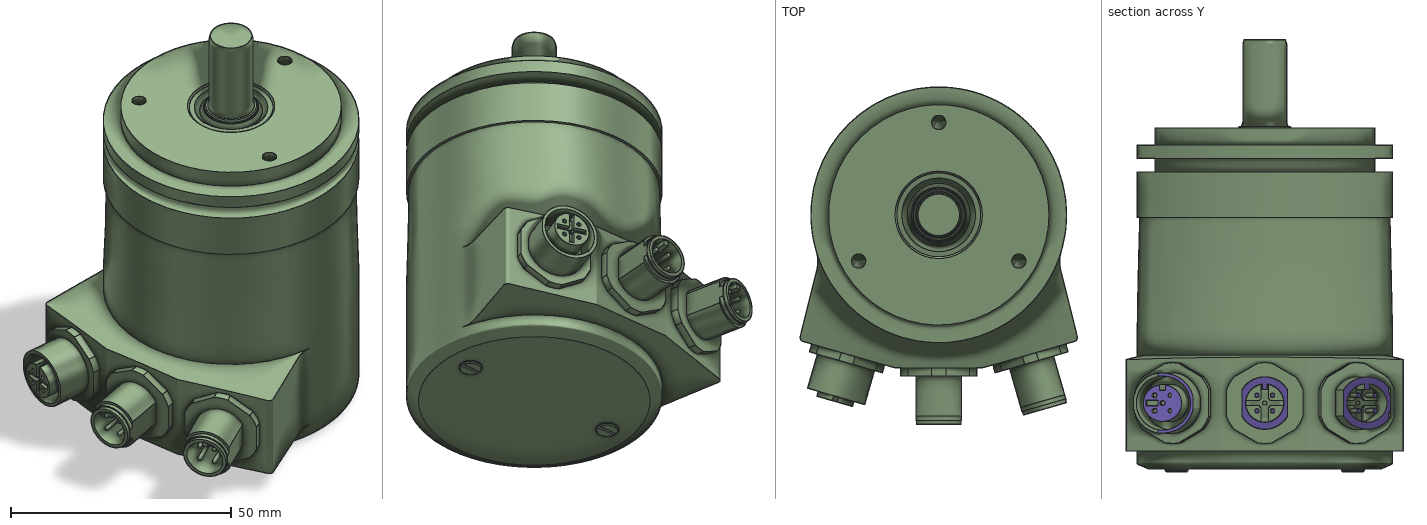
import cadquery as cq
import math

body_radius = 29.0
pilot_radius = 25.0
total_height = 98.0

screw_head_height = 0.6
hood_wall_bottom = 1.8
block_bottom = 4.7
block_top_at_wall = 26.5
hood_taper_start = 31.6
hood_top = 57.7
shoulder_top = 68.0
rim_bottom = 71.05
rim_top = 74.1
flange_top = 78.0

hood_top_radius = 28.4
hood_floor_radius = 26.3
hood_bottom_fillet = 0.6
block_top_slope = 4.5

block_front = 34.7
front_half_width = 10.0
side_face_angle = 16.0
side_face_length = 22.5
side_wall_angle = 14.0
block_corner_radius = 1.0
block_blend_radius = 7.8

screw_offset_x = 20.0
screw_offset_y = -1.7
screw_head_radius = 2.6
screw_head_chamfer = 0.3
screw_slot_width = 0.6

mounting_circle_radius = 21.0
mounting_hole_diameter = 3.2
mounting_hole_depth = 9.8
drill_point_angle = 118.0
mounting_hole_angles = (90, 210, 330)
seal_radius = 9.5
seal_height = 5.9
bore_chamfer = 0.4

groove_outer_radius = 8.3
groove_bottom_radius = 7.2
groove_inner_radius = 6.3
groove_depth = 0.9
groove_arc_radius = 1.1

shaft_radius = 5.0
collar_radius = 6.1
collar_above_flange = 0.3
collar_chamfer = 0.3
root_radius = 5.3
shaft_tip_radius = 4.7
shaft_cone_height = 1.0

connector_height = 15.6
side_seat_distance = 11.0
nut_across_flats = 17.2
nut_turned_diameter = 18.3
nut_thickness = 1.9

plug_length = 12.8
plug_barrel_radius = 6.0
plug_flat_offset = 5.2
plug_barrel_end = 11.0
plug_neck_radius = 5.4
plug_neck_end = 12.0
plug_tip_radius = 5.1
plug_bore_radius = 4.3
plug_bore_depth = 9.5
plug_pin_recess = 1.2
plug_pin_fillet = 0.4
plug_upright_slot_width = 1.7
plug_centre_radius = 1.4
plug_dimple_depth = 0.2
plug_key_recess = 0.3

socket_barrel_radius = 6.9
socket_barrel_end = 9.9
socket_flat_offset = 6.8
socket_bore_radius = 6.1
socket_bore_depth = 7.35
insert_radius = 4.2
insert_projection = 1.2
contact_hole_depth = 2.0
insert_slot_reach = 3.5

slot_width = 1.2
slot_depth = 1.2
key_width = 1.2
key_height = 1.3
contact_spacing = 3.5
contact_diameter = 1.0


def turned_solid(points):
    """Solid of revolution about Z from (radius, z) points."""
    return cq.Workplane("XZ").polyline(points).close().revolve(360, (0, 0, 0), (0, 1, 0))


def direction(degrees):
    """Unit vector in the XY plane, turned from +X."""
    return cq.Vector(math.cos(math.radians(degrees)), math.sin(math.radians(degrees)), 0)


face_direction = direction(side_face_angle)
wall_normal = direction(side_wall_angle)
wall_direction = direction(side_wall_angle + 90)
front_corner = cq.Vector(front_half_width, -block_front, 0)
outer_corner = front_corner + face_direction * side_face_length


def xy(vector, side=1):
    """XY pair of a vector, mirrored to -X when side is -1."""
    return (side * vector.x, vector.y)


def make_block():
    wall_distance = outer_corner.dot(wall_normal)
    centre_distance = wall_distance + block_blend_radius
    centre_along = -math.sqrt((body_radius + block_blend_radius) ** 2 - centre_distance**2)
    blend_centre = wall_normal * centre_distance + wall_direction * centre_along
    hood_tangent = blend_centre.normalized() * body_radius
    wall_tangent = blend_centre - wall_normal * block_blend_radius
    chord_middle = (hood_tangent + wall_tangent) * 0.5
    blend_middle = blend_centre + (chord_middle - blend_centre).normalized() * block_blend_radius
    outline = (
        cq.Workplane("XY")
        .moveTo(0, 0)
        .lineTo(*xy(hood_tangent))
        .threePointArc(xy(blend_middle), xy(wall_tangent))
        .lineTo(*xy(outer_corner))
        .lineTo(*xy(front_corner))
        .lineTo(*xy(front_corner, -1))
        .lineTo(*xy(outer_corner, -1))
        .lineTo(*xy(wall_tangent, -1))
        .threePointArc(xy(blend_middle, -1), xy(hood_tangent, -1))
        .close()
    )
    block = outline.extrude(hood_taper_start - block_bottom).translate((0, 0, block_bottom))
    corner_zone = cq.selectors.BoxSelector(
        (-total_height, -total_height, 0), (total_height, outer_corner.y + block_corner_radius, total_height)
    )
    block = block.edges("|Z").edges(corner_zone).fillet(block_corner_radius)
    reach = 2 * body_radius
    slope = math.tan(math.radians(block_top_slope))
    cone = turned_solid([
        (0, block_bottom),
        (reach, block_bottom),
        (reach, block_top_at_wall - (reach - body_radius) * slope),
        (0, block_top_at_wall + body_radius * slope),
    ])
    return block.intersect(cone)


def make_screw_head():
    head = (
        cq.Workplane("XY")
        .circle(screw_head_radius)
        .extrude(2 * screw_head_height)
        .faces("<Z")
        .chamfer(screw_head_chamfer)
    )
    slot = cq.Workplane("XY").box(
        2 * screw_head_radius, screw_slot_width, screw_head_height, centered=(True, True, False)
    )
    return head.cut(slot)


def make_hood():
    shell = turned_solid([
        (0, screw_head_height),
        (hood_floor_radius, screw_head_height),
        (body_radius, hood_wall_bottom),
        (body_radius, hood_taper_start),
        (hood_top_radius, hood_top),
        (0, hood_top),
    ])
    wall_edge = shell.edges(cq.selectors.RadiusNthSelector(-1)).edges("<Z")
    hood = wall_edge.fillet(hood_bottom_fillet).union(make_block())
    for side in (-1, 1):
        hood = hood.union(make_screw_head().translate((side * screw_offset_x, screw_offset_y, 0)))
    return hood


def make_flange():
    blank = turned_solid([
        (0, hood_top),
        (body_radius, hood_top),
        (body_radius, shoulder_top),
        (pilot_radius, shoulder_top),
        (pilot_radius, rim_bottom),
        (body_radius, rim_bottom),
        (body_radius, rim_top),
        (pilot_radius, rim_top),
        (pilot_radius, flange_top),
        (0, flange_top),
    ])
    seat_depth = bore_chamfer + seal_height
    bored = blank.faces(">Z").workplane().circle(seal_radius).cutBlind(-seat_depth)
    bored = bored.faces(">Z").edges(cq.selectors.RadiusNthSelector(0)).chamfer(bore_chamfer)
    return bored.cut(make_mounting_holes())


def make_mounting_holes():
    hole_radius = mounting_hole_diameter / 2
    point_height = hole_radius / math.tan(math.radians(drill_point_angle / 2))
    hole_floor = flange_top - mounting_hole_depth
    hole = turned_solid([
        (0, hole_floor - point_height),
        (hole_radius, hole_floor),
        (hole_radius, flange_top),
        (0, flange_top),
    ])
    holes = cq.Workplane("XY")
    for angle in mounting_hole_angles:
        holes = holes.add(hole.translate(direction(angle) * mounting_circle_radius))
    return holes.combine()


seal_top = flange_top - bore_chamfer
seal_bottom = seal_top - seal_height


def make_seal():
    profile = (
        cq.Workplane("XZ")
        .moveTo(collar_radius, seal_bottom)
        .lineTo(seal_radius, seal_bottom)
        .lineTo(seal_radius, seal_top)
        .lineTo(groove_outer_radius, seal_top)
        .radiusArc((groove_bottom_radius, seal_top - groove_depth), groove_arc_radius)
        .lineTo(groove_inner_radius, seal_top)
        .lineTo(collar_radius, seal_top)
        .close()
    )
    return profile.revolve(360, (0, 0, 0), (0, 1, 0))


def make_shaft():
    collar_top = flange_top + collar_above_flange
    return turned_solid([
        (0, seal_bottom),
        (collar_radius, seal_bottom),
        (collar_radius, collar_top - collar_chamfer),
        (collar_radius - collar_chamfer, collar_top),
        (root_radius, collar_top),
        (shaft_radius, collar_top + shaft_cone_height),
        (shaft_radius, total_height - shaft_cone_height),
        (shaft_tip_radius, total_height),
        (0, total_height),
    ])


def cylinder_out(radius, start, end):
    return cq.Workplane("XZ", origin=(0, -start, 0)).circle(radius).extrude(end - start)


def contact_square(start, end):
    """Four round contacts in a square."""
    return (
        cq.Workplane("XZ", origin=(0, -start, 0))
        .rarray(contact_spacing, contact_spacing, 2, 2)
        .circle(contact_diameter / 2)
        .extrude(end - start)
    )


def centre_contact(start, end):
    return cylinder_out(contact_diameter / 2, start, end)


def bar_out(x_size, z_size, start, end):
    return cq.Workplane("XZ", origin=(0, -start, 0)).rect(x_size, z_size).extrude(end - start)


def make_nut():
    corner_circle = nut_across_flats / math.cos(math.radians(30))
    hexagon = (
        cq.Workplane("XZ")
        .transformed(rotate=(0, 0, 30))
        .polygon(6, corner_circle)
        .extrude(nut_thickness)
    )
    return hexagon.intersect(cylinder_out(nut_turned_diameter / 2, 0, nut_thickness))


def make_plug():
    floor = plug_length - plug_bore_depth
    bore = cylinder_out(plug_bore_radius, floor, plug_length)
    barrel = (
        cylinder_out(plug_barrel_radius, 0, plug_barrel_end)
        .union(cylinder_out(plug_neck_radius, plug_barrel_end, plug_neck_end))
        .union(cylinder_out(plug_tip_radius, plug_neck_end, plug_length))
        .intersect(bar_out(2 * plug_flat_offset, 2 * plug_barrel_radius, 0, plug_length))
        .cut(bore)
    )
    slot_floor = floor - slot_depth
    cross = (
        bar_out(plug_upright_slot_width, 2 * plug_bore_radius, slot_floor, floor)
        .union(bar_out(2 * plug_bore_radius, slot_width, slot_floor, floor))
        .intersect(cylinder_out(plug_bore_radius, slot_floor, floor))
        .union(cylinder_out(plug_centre_radius, slot_floor, floor))
        .union(centre_contact(slot_floor - plug_dimple_depth, floor))
    )
    pins = contact_square(floor, plug_length - plug_pin_recess).faces("<Y").edges().fillet(plug_pin_fillet)
    key = (
        bar_out(key_width, 2 * key_height, slot_floor, plug_length - plug_key_recess)
        .translate((0, 0, plug_bore_radius))
        .intersect(cylinder_out(plug_bore_radius, slot_floor, plug_length))
    )
    return make_nut().union(barrel).cut(cross).union(pins).union(key)


def make_socket():
    insert_end = socket_barrel_end + insert_projection
    bore_floor = socket_barrel_end - socket_bore_depth
    slot_floor = insert_end - slot_depth
    barrel = (
        cylinder_out(socket_barrel_radius, 0, socket_barrel_end)
        .intersect(bar_out(2 * socket_flat_offset, 2 * socket_barrel_radius, 0, socket_barrel_end))
        .cut(cylinder_out(socket_bore_radius, bore_floor, socket_barrel_end))
    )
    keyway = bar_out(key_width, 2 * key_height, bore_floor, insert_end).translate((0, 0, insert_radius))
    insert = (
        cylinder_out(insert_radius, 0, insert_end)
        .cut(bar_out(slot_width, 2 * insert_slot_reach, slot_floor, insert_end))
        .cut(bar_out(2 * insert_slot_reach, slot_width, slot_floor, insert_end))
        .cut(contact_square(insert_end - contact_hole_depth, insert_end))
        .cut(centre_contact(insert_end - contact_hole_depth, insert_end))
        .cut(keyway)
    )
    return make_nut().union(barrel).union(insert)


def place_on_side(connector, side):
    """Seat a connector on the side face at +X (side 1) or -X (side -1)."""
    seat = front_corner + face_direction * side_seat_distance
    turned = connector.rotate((0, 0, 0), (0, 0, 1), side * side_face_angle)
    return turned.translate((side * seat.x, seat.y, connector_height))


hood = make_hood()
flange = make_flange()
seal = make_seal()
shaft = make_shaft()
front_plug = make_plug().translate((0, -block_front, connector_height))
side_plug = place_on_side(make_plug(), 1)
side_socket = place_on_side(make_socket(), -1)

result = cq.Compound.makeCompound([
    hood.val(),
    flange.val(),
    seal.val(),
    shaft.val(),
    front_plug.val(),
    side_plug.val(),
    side_socket.val(),
])